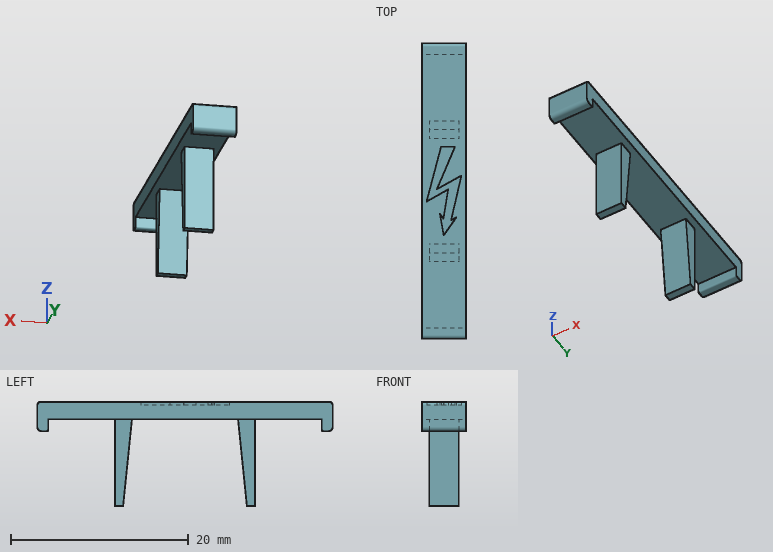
import cadquery as cq

LENGTH = 33.3
WIDTH = 5.0
HEIGHT = 11.75
PLATE_THICKNESS = 2.0
LIP_HEIGHT = 3.33
LIP_THICKNESS = 1.25
TOP_EDGE_RADIUS = 0.4
LIP_EDGE_RADIUS = 0.5
LIP_INNER_RADIUS = 0.2

LEG_WIDTH = 3.33
LEG_OUTER_Y = 7.9
LEG_ROOT_THICKNESS = 1.93
LEG_TIP_THICKNESS = 0.93

BOLT_DEPTH = 0.33
BOLT_OUTLINE = [
    (-0.33, 4.95),
    (1.23, 4.95),
    (-0.8, 0.2),
    (1.95, 1.73),
    (0.8, -3.3),
    (1.4, -2.95),
    (-0.03, -5.0),
    (-0.45, -2.55),
    (-0.05, -3.13),
    (0.45, 0.15),
    (-1.95, -1.2),
]

TOP_Z = HEIGHT / 2
BOTTOM_Z = -HEIGHT / 2
PLATE_BOTTOM_Z = TOP_Z - PLATE_THICKNESS
LIP_BOTTOM_Z = TOP_Z - LIP_HEIGHT


def extrude_across(points, width):
    """Extrude a closed (y, z) outline to a width centred on X = 0."""
    return cq.Workplane("YZ").polyline(points).close().extrude(width / 2, both=True)


def make_strip():
    """Plate with a downturned lip at each end and rounded end edges."""
    end_y = LENGTH / 2
    inner_y = end_y - LIP_THICKNESS
    strip = extrude_across(
        [
            (-end_y, TOP_Z),
            (end_y, TOP_Z),
            (end_y, LIP_BOTTOM_Z),
            (inner_y, LIP_BOTTOM_Z),
            (inner_y, PLATE_BOTTOM_Z),
            (-inner_y, PLATE_BOTTOM_Z),
            (-inner_y, LIP_BOTTOM_Z),
            (-end_y, LIP_BOTTOM_Z),
        ],
        WIDTH,
    )
    for end_face in ("<Y", ">Y"):
        strip = strip.faces(end_face).edges(">Z").fillet(TOP_EDGE_RADIUS)
        strip = strip.faces(end_face).edges("<Z").fillet(LIP_EDGE_RADIUS)
    inner_lip_edges = strip.faces("<Z").edges(cq.selectors.BoxSelector(
        (-WIDTH, -inner_y - LIP_INNER_RADIUS, LIP_BOTTOM_Z - LIP_INNER_RADIUS),
        (WIDTH, inner_y + LIP_INNER_RADIUS, LIP_BOTTOM_Z + LIP_INNER_RADIUS),
    )).edges("|X")
    return inner_lip_edges.fillet(LIP_INNER_RADIUS)


def make_leg(side):
    """Leg on the given Y side (-1 or 1), tapering on its inner face."""
    return extrude_across(
        [
            (side * LEG_OUTER_Y, PLATE_BOTTOM_Z),
            (side * LEG_OUTER_Y, BOTTOM_Z),
            (side * (LEG_OUTER_Y - LEG_TIP_THICKNESS), BOTTOM_Z),
            (side * (LEG_OUTER_Y - LEG_ROOT_THICKNESS), PLATE_BOTTOM_Z),
        ],
        LEG_WIDTH,
    )


def make_bolt():
    """Arrow-tipped lightning bolt that fills its recess in the cover."""
    floor = cq.Workplane("XY").workplane(offset=TOP_Z - BOLT_DEPTH)
    return floor.polyline(BOLT_OUTLINE).close().extrude(BOLT_DEPTH)


def make_cover(bolt):
    """Strip and legs as one solid, with a recess matching the bolt."""
    cover = make_strip()
    for side in (-1, 1):
        cover = cover.union(make_leg(side))
    return cover.cut(bolt)


bolt = make_bolt()
cover = make_cover(bolt)

result = cq.Compound.makeCompound([cover.solids().val(), bolt.val()])